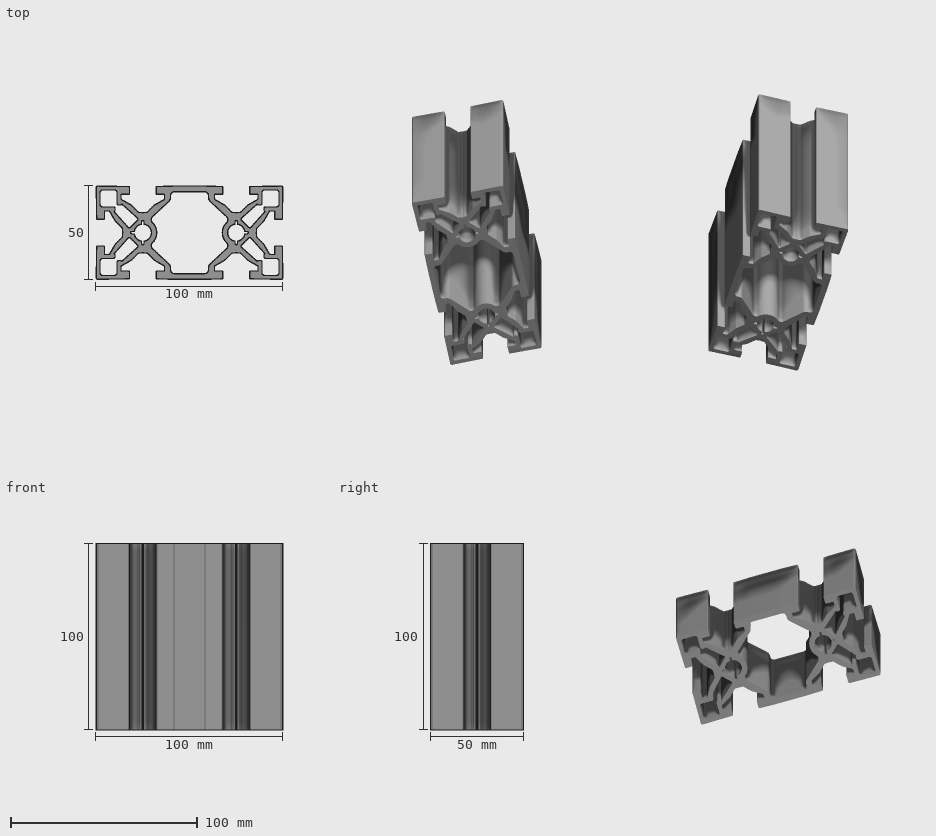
import math

import cadquery as cq

WIDTH = 100.0
DEPTH = 50.0
LENGTH = 100.0
CELL = DEPTH / 2
CORNER_RADIUS = 1.0

MOUTH_HALF = 7.1
LIP_THICKNESS = 4.5
LIP_UNDERSIDE = CELL - LIP_THICKNESS
LIP_DROP = 0.25
LIP_RADIUS = 0.5
SLOT_HALF = 11.6
SLOT_RADIUS = 0.6
SLOT_WALL_END = 17.9
KINK_SIDE = 6.2
KINK_RADIUS = 3.0
FLOOR_HALF = 2.3
FLOOR_LEVEL = 10.9
FLOOR_RADIUS = 1.2
KINK_LEVEL = FLOOR_LEVEL + KINK_SIDE - FLOOR_HALF
CENTRE_LAND_HALF = 8.4
MARK_HALF = 0.5
MARK_DEPTH = 0.2
CUTTER_OVERSHOOT = 1.0

BORE_RADIUS = 4.55
KEYWAY_HALF = 0.6
KEYWAY_REACH = 6.4
KEYWAY_RADIUS = 0.5
BOSS_RADIUS = 7.5

CHAMBER_INNER = 13.85
CHAMBER_OUTER = 22.8
CHAMBER_RADIUS = 1.2
NECK_LEVEL = 14.75
NECK_CORNER = 11.9
NECK_RADIUS = 1.1
NECK_INNER_RADIUS = 0.6
CHANNEL_MOUTH = (11.2, 15.25)
CHANNEL_END = (2.3, 7.3)
CHANNEL_RADIUS = 0.7

WAIST_SIDE = 4.65
WAIST_TOP = 8.0
WAIST_RADIUS = 1.5
BOSS_BLEND_RADIUS = 1.5
CAVITY_SHOULDER = (14.9, 17.6)
SHOULDER_RADIUS = 3.0
CAVITY_TOP = 21.85
CAVITY_RADIUS = 2.0


def moved_towards(start, end, distance):
    """Point at the given distance from start on the way to end."""
    span = math.dist(start, end)
    return (
        start[0] + (end[0] - start[0]) * distance / span,
        start[1] + (end[1] - start[1]) * distance / span,
    )


def rounded_corner(previous, corner, following, radius):
    """Start, middle and end of the arc that rounds one corner of an outline."""
    arm_in = moved_towards(corner, previous, 1.0)
    arm_out = moved_towards(corner, following, 1.0)
    half_angle = math.asin(math.dist(arm_in, arm_out) / 2)
    trim = radius / math.tan(half_angle)
    bisector = ((arm_in[0] + arm_out[0]) / 2, (arm_in[1] + arm_out[1]) / 2)
    middle = moved_towards(corner, bisector, radius / math.sin(half_angle) - radius)
    return (
        moved_towards(corner, previous, trim),
        middle,
        moved_towards(corner, following, trim),
    )


def rounded_prism(corners):
    """Full-length prism over a closed outline of (point, corner radius) pairs."""
    count = len(corners)
    outline = cq.Workplane("XY")
    for index, (point, radius) in enumerate(corners):
        previous = corners[index - 1][0]
        following = corners[(index + 1) % count][0]
        if radius:
            start, middle, end = rounded_corner(previous, point, following, radius)
        else:
            start = point
        outline = outline.lineTo(*start) if index else outline.moveTo(*start)
        if radius:
            outline = outline.threePointArc(middle, end)
    return outline.close().extrude(LENGTH)


def mirrored(corners):
    """Close a half outline across the Y axis."""
    return corners + [((-point[0], point[1]), radius) for point, radius in reversed(corners)]


def slot_half(land_start):
    """Right half of a slot opening towards +Y; the lip face slopes in from land_start."""
    return [
        ((0, FLOOR_LEVEL - MARK_DEPTH), 0),
        ((MARK_HALF, FLOOR_LEVEL), 0),
        ((FLOOR_HALF, FLOOR_LEVEL), FLOOR_RADIUS),
        ((KINK_SIDE, KINK_LEVEL), KINK_RADIUS),
        ((SLOT_HALF, SLOT_WALL_END), SLOT_RADIUS),
        ((SLOT_HALF, LIP_UNDERSIDE), 0),
        ((MOUTH_HALF, LIP_UNDERSIDE), LIP_RADIUS),
        ((MOUTH_HALF, CELL - LIP_DROP), LIP_RADIUS),
        ((land_start, CELL), 0),
        ((land_start, CELL + CUTTER_OVERSHOOT), 0),
        ((0, CELL + CUTTER_OVERSHOOT), 0),
    ]


def slot_cutter(land_start_right, land_start_left):
    right = rounded_prism(slot_half(land_start_right))
    left = rounded_prism(slot_half(land_start_left)).mirror("YZ")
    return right.union(left)


def bore_cutter():
    """Screw bore with keyways towards +Y, -Y and -X."""
    keyway = rounded_prism(mirrored([
        ((KEYWAY_HALF, 0), 0),
        ((KEYWAY_HALF, KEYWAY_REACH), KEYWAY_RADIUS),
    ]))
    bore = cq.Workplane("XY").circle(BORE_RADIUS).extrude(LENGTH)
    for angle in (0, 90, 180):
        bore = bore.union(keyway.rotate((0, 0, 0), (0, 0, 1), angle))
    return bore


def corner_cavity_cutter():
    """Chamber and diagonal channel towards (-X, +Y), symmetric about the diagonal."""
    half = [
        (CHANNEL_END, CHANNEL_RADIUS),
        (CHANNEL_MOUTH, 0),
        ((NECK_CORNER, NECK_LEVEL), NECK_INNER_RADIUS),
        ((CHAMBER_INNER, NECK_LEVEL), NECK_RADIUS),
        ((CHAMBER_INNER, CHAMBER_OUTER), CHAMBER_RADIUS),
    ]
    diagonal_corner = [((CHAMBER_OUTER, CHAMBER_OUTER), CHAMBER_RADIUS)]
    other_half = [((point[1], point[0]), radius) for point, radius in reversed(half)]
    return rounded_prism(half + diagonal_corner + other_half).mirror("YZ")


def middle_cavity_cutter():
    """Large cavity between the cells, with the bore walls bulging into its ends."""
    waist_bottom = math.sqrt(BOSS_RADIUS**2 - WAIST_SIDE**2)
    upper_right = [
        ((CELL - WAIST_SIDE, waist_bottom), 0),
        ((CELL - WAIST_SIDE, WAIST_TOP), WAIST_RADIUS),
        ((CELL - CAVITY_SHOULDER[0], CAVITY_SHOULDER[1]), SHOULDER_RADIUS),
        ((CELL - CAVITY_SHOULDER[0], CAVITY_TOP), CAVITY_RADIUS),
    ]
    upper = mirrored(upper_right)
    lower = [((point[0], -point[1]), radius) for point, radius in reversed(upper)]
    cavity = rounded_prism(upper + lower)
    boss_centres = [(-CELL, 0), (CELL, 0)]
    bosses = cq.Workplane("XY").pushPoints(boss_centres).circle(BOSS_RADIUS).extrude(LENGTH)
    cavity = cavity.cut(bosses)
    for side in (-1, 1):
        for end in (-1, 1):
            junction = (side * (CELL - WAIST_SIDE), end * waist_bottom, LENGTH / 2)
            cavity = cavity.edges(cq.NearestToPointSelector(junction)).fillet(BOSS_BLEND_RADIUS)
    return cavity


def left_cell_cutter():
    """Everything removed from the left cell, placed about the cell centre."""
    corner_land = CELL - CORNER_RADIUS
    long_face_slot = slot_cutter(CELL - CENTRE_LAND_HALF, corner_land)
    short_face_slot = slot_cutter(corner_land, corner_land).rotate((0, 0, 0), (0, 0, 1), 90)
    corner_cavity = corner_cavity_cutter()
    cutter = bore_cutter().union(short_face_slot)
    for feature in (long_face_slot, corner_cavity):
        cutter = cutter.union(feature).union(feature.mirror("XZ"))
    return cutter


profile = cq.Workplane("XY").rect(WIDTH, DEPTH).extrude(LENGTH)
profile = profile.edges("|Z").fillet(CORNER_RADIUS)

left_cutter = left_cell_cutter().translate((-CELL, 0, 0))
profile = profile.cut(left_cutter).cut(left_cutter.mirror("YZ"))
result = profile.cut(middle_cavity_cutter()).translate((0, 0, -LENGTH / 2))